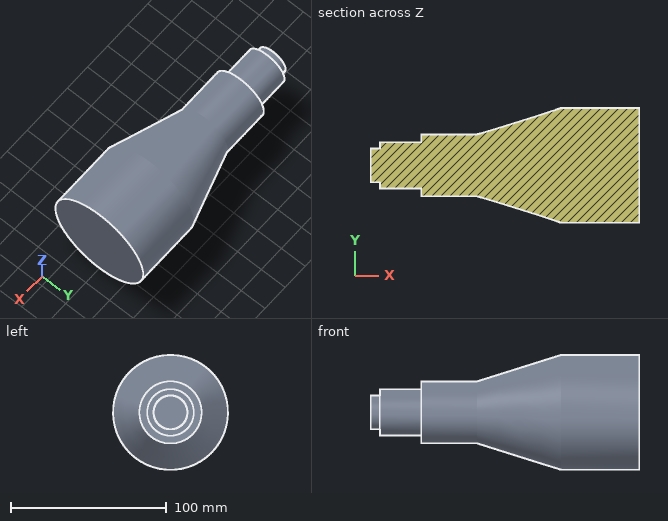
import cadquery as cq

tip_diameter = 22.0
journal_diameter = 30.0
neck_diameter = 40.0
body_diameter = 74.0

tip_length = 6.0
journal_length = 26.5
neck_length = 36.0
cone_length = 54.0
body_length = 50.27

tip_chamfer = 0.25

journal_start = tip_length
neck_start = journal_start + journal_length
cone_start = neck_start + neck_length
body_start = cone_start + cone_length
body_end = body_start + body_length


def make_shaft():
    """Revolve the half profile about the X axis."""
    half_profile = (
        cq.Workplane("XZ")
        .moveTo(0, 0)
        .lineTo(0, tip_diameter / 2)
        .lineTo(journal_start, tip_diameter / 2)
        .lineTo(journal_start, journal_diameter / 2)
        .lineTo(neck_start, journal_diameter / 2)
        .lineTo(neck_start, neck_diameter / 2)
        .lineTo(cone_start, neck_diameter / 2)
        .lineTo(body_start, body_diameter / 2)
        .lineTo(body_end, body_diameter / 2)
        .lineTo(body_end, 0)
        .close()
    )
    return half_profile.revolve(360, (0, 0, 0), (1, 0, 0))


def chamfer_tip(shaft):
    """Break the sharp edge of the thin end face."""
    return shaft.faces("<X").edges().chamfer(tip_chamfer)


result = chamfer_tip(make_shaft())